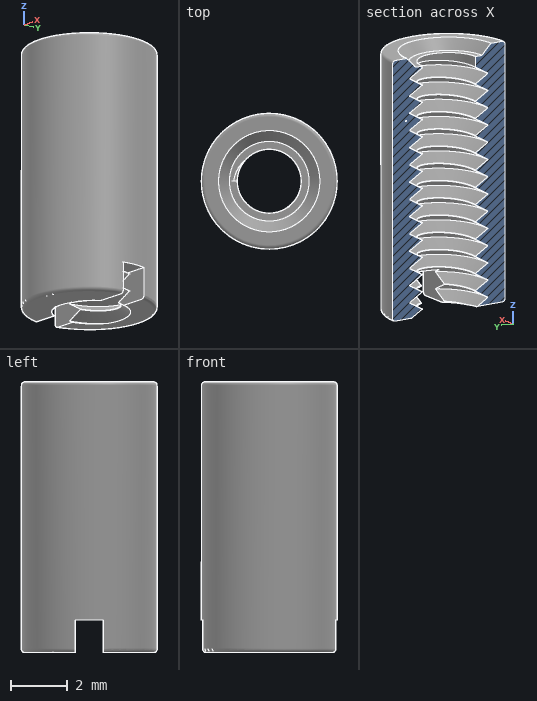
import cadquery as cq
import math

length = 9.53
body_diameter = 4.78
edge_radius = 0.13

bore_diameter = 2.24
sink_top_diameter = 3.56
sink_bottom_diameter = 2.8
sink_depth = (sink_top_diameter - sink_bottom_diameter) / 2

slot_width = 0.97
slot_depth = 1.14

thread_pitch = 0.63
thread_turns = 15
flank_half_angle = 30.0
groove_half_width = 0.305
groove_depth = groove_half_width / math.tan(math.radians(flank_half_angle))
groove_overlap = 0.1
runout_height = 0.08


def make_body():
    """Cylinder with both outer edges rounded."""
    cylinder = cq.Workplane("XY").circle(body_diameter / 2).extrude(length)
    return cylinder.edges("%CIRCLE").fillet(edge_radius)


def make_bore():
    """Bore and conical countersink, revolved as one cutter."""
    floor_z = length - sink_depth
    return (
        cq.Workplane("XZ")
        .moveTo(0, 0)
        .lineTo(bore_diameter / 2, 0)
        .lineTo(bore_diameter / 2, floor_z)
        .lineTo(sink_bottom_diameter / 2, floor_z)
        .lineTo(sink_top_diameter / 2, length)
        .lineTo(0, length)
        .close()
        .revolve(360, (0, 0, 0), (0, 1, 0))
    )


def make_thread_cutter():
    """Helical V groove that ends on the -X side and starts below the base."""
    bore_radius = bore_diameter / 2
    inner_radius = bore_radius - groove_overlap
    helix_height = thread_turns * thread_pitch
    helix = cq.Wire.makeHelix(thread_pitch, helix_height, bore_radius)
    groove = (
        cq.Workplane("XZ")
        .moveTo(inner_radius, -groove_half_width)
        .lineTo(bore_radius, -groove_half_width)
        .lineTo(bore_radius + groove_depth, 0)
        .lineTo(bore_radius, groove_half_width)
        .lineTo(inner_radius, groove_half_width)
        .close()
        .sweep(cq.Workplane(helix), isFrenet=True)
    )
    end_z = length - sink_depth + runout_height - groove_half_width
    return groove.rotate((0, 0, 0), (0, 0, 1), 180).translate((0, 0, end_z - helix_height))


def make_slot():
    """Rectangular slot across the full diameter."""
    return cq.Workplane("XY").box(
        body_diameter, slot_width, slot_depth, centered=(True, True, False)
    )


result = make_body().cut(make_bore()).cut(make_thread_cutter()).cut(make_slot())